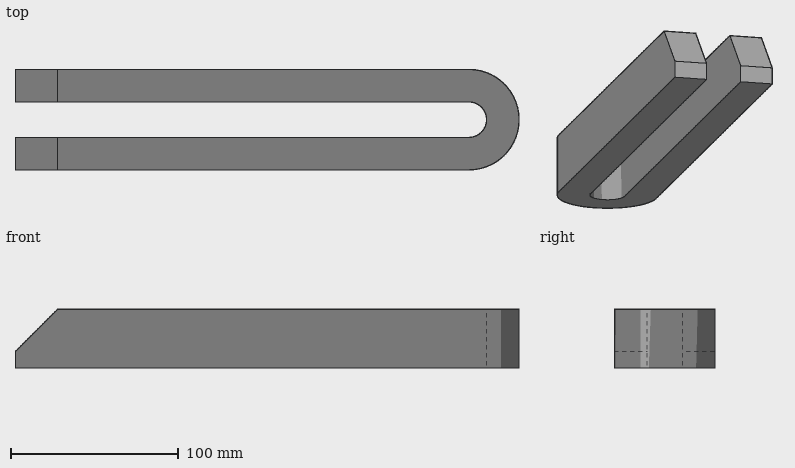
import cadquery as cq

length = 300.0
width = 60.0
height = 35.0
slot_width = 21.0
nose_height = 10.0

outer_radius = width / 2
slot_radius = slot_width / 2
bend_x = length - outer_radius
slope_run = height - nose_height


def round_ended_bar(half_width):
    """Bar from the open end at X = 0 to a half-round end about the bend centre."""
    return (
        cq.Workplane("XY")
        .moveTo(0, -half_width)
        .lineTo(bend_x, -half_width)
        .threePointArc((bend_x + half_width, 0), (bend_x, half_width))
        .lineTo(0, half_width)
        .close()
        .extrude(height)
    )


def nose_cutter():
    """Triangular prism that slopes the top of both leg tips."""
    return (
        cq.Workplane("XZ")
        .moveTo(0, nose_height)
        .lineTo(slope_run, height)
        .lineTo(0, height)
        .close()
        .extrude(width / 2, both=True)
    )


result = round_ended_bar(outer_radius).cut(round_ended_bar(slot_radius)).cut(nose_cutter())